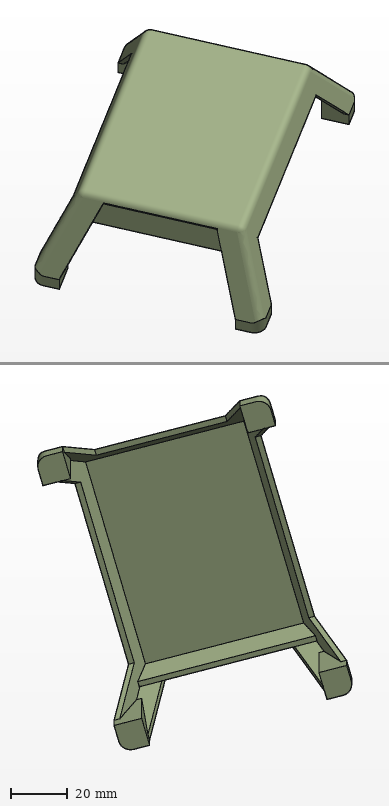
import cadquery as cq
import math

length_x = 85.0
length_y = 115.0
height = 34.0

foot_height = 5.1
foot_x = 10.1
foot_y = 10.6
foot_corner_radius = 4.4

slope_x = math.tan(math.radians(23))
slope_y = math.tan(math.radians(30))
edge_radius = 2.9

wall = 2.0
underside = height - wall

opening_top = 25.1

panel_bottom = 23.7
panel_bottom_y = 44.0
panel_top_setback = 0.5


def half_x(z):
    """Half the outer X width of the sloping body at height z."""
    return length_x / 2 - (z - foot_height) * slope_x


def half_y(z):
    """Half the outer Y width of the sloping body at height z."""
    return length_y / 2 - (z - foot_height) * slope_y


def sloping_block(top, inset_x=0, inset_y=0):
    """Block with the body's side slopes, from the ground up to the given height."""
    return (
        cq.Workplane("XY")
        .rect(2 * (half_x(0) - inset_x), 2 * (half_y(0) - inset_y))
        .workplane(offset=top)
        .rect(2 * (half_x(top) - inset_x), 2 * (half_y(top) - inset_y))
        .loft(ruled=True)
    )


def opening(plane, half_width, leg_width, slope, top):
    """Centred through-cutter that narrows upward, parallel to the outer sides."""
    half_base = half_width - leg_width
    half_top = half_base - (top - foot_height) * slope
    return (
        cq.Workplane(plane)
        .polyline([
            (-half_base, 0),
            (half_base, 0),
            (half_base, foot_height),
            (half_top, top),
            (-half_top, top),
            (-half_base, foot_height),
        ])
        .close()
        .extrude(length_x + length_y, both=True)
    )


body = sloping_block(height).edges("not <Z").fillet(edge_radius)
foot_outline = (
    cq.Workplane("XY")
    .rect(length_x, length_y)
    .extrude(height)
    .edges("|Z")
    .fillet(foot_corner_radius)
)
body = body.intersect(foot_outline)

wall_inset_x = wall * math.hypot(1, slope_x)
wall_inset_y = wall * math.hypot(1, slope_y)
shell = body.cut(sloping_block(underside, wall_inset_x, wall_inset_y))

side_opening = opening("YZ", length_y / 2, foot_y, slope_y, opening_top)
end_opening = opening("XZ", length_x / 2, foot_x, slope_x, opening_top)
front_half = cq.Workplane("XY", origin=(0, -length_y / 4, 0)).box(
    length_x, length_y / 2, height, centered=(True, True, False)
)
front_opening = opening("XZ", length_x / 2, foot_x, slope_x, underside).intersect(front_half)
shell = shell.cut(side_opening).cut(end_opening).cut(front_opening)

feet = (
    cq.Workplane("XY")
    .rect(length_x - foot_x, length_y - foot_y, forConstruction=True)
    .vertices()
    .rect(foot_x, foot_y)
    .extrude(height)
    .intersect(body)
)

panel_top_y = half_y(underside) - panel_top_setback
panel_slope = (panel_bottom_y - panel_top_y) / (underside - panel_bottom)
panel_depth = wall * math.hypot(1, panel_slope)
panel = (
    cq.Workplane("YZ")
    .polyline([
        (-panel_bottom_y, panel_bottom),
        (-panel_top_y, underside),
        (-panel_top_y + panel_depth, underside),
        (-panel_bottom_y + panel_depth, panel_bottom),
    ])
    .close()
    .extrude(length_x / 2, both=True)
    .intersect(sloping_block(height, wall_inset_x / 2))
)

result = shell.union(feet).union(panel)